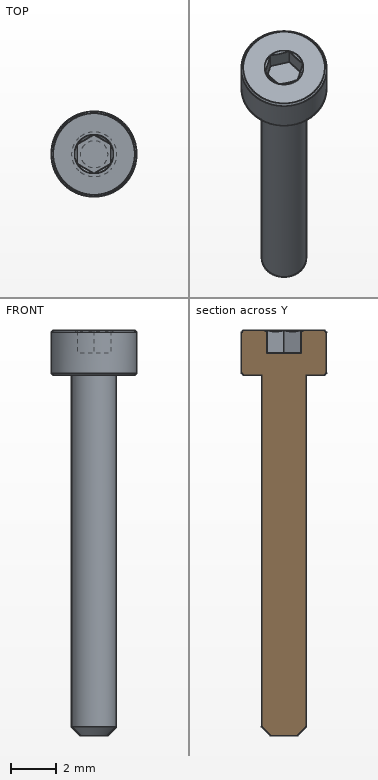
import cadquery as cq
import math

total_length = 18
head_diameter = 3.8
head_height = 2.0
head_edge_chamfer = 0.09
shank_diameter = 2.0
tip_diameter = 1.2
tip_length = 0.4
socket_across_flats = 1.5
socket_depth = 1.0
socket_mouth_chamfer_angle = 30

shank_length = total_length - head_height
socket_across_corners = socket_across_flats / math.cos(math.radians(30))
socket_mouth_depth = (socket_across_corners - socket_across_flats) / 2 * math.tan(
    math.radians(socket_mouth_chamfer_angle)
)


def make_head():
    """Cylindrical head with both rims chamfered."""
    head = cq.Workplane("XY").workplane(offset=shank_length).circle(head_diameter / 2).extrude(head_height)
    return head.faces("<Z or >Z").edges().chamfer(head_edge_chamfer)


def make_shank():
    """Plain shank that tapers to a flat tip."""
    profile = [
        (0, 0),
        (tip_diameter / 2, 0),
        (shank_diameter / 2, tip_length),
        (shank_diameter / 2, shank_length),
        (0, shank_length),
    ]
    return cq.Workplane("XZ").polyline(profile).close().revolve(360, (0, 0), (0, 1))


def make_socket():
    """Hexagonal socket with two corners on the Y axis and a conical mouth."""
    top = cq.Workplane("XY").workplane(offset=total_length)
    hexagon = top.transformed(rotate=(0, 0, 90)).polygon(6, socket_across_corners).extrude(-socket_depth)
    mouth = (
        top.circle(socket_across_corners / 2)
        .workplane(offset=-socket_mouth_depth)
        .circle(socket_across_flats / 2)
        .loft()
    )
    return hexagon.union(mouth)


result = make_head().union(make_shank()).cut(make_socket())